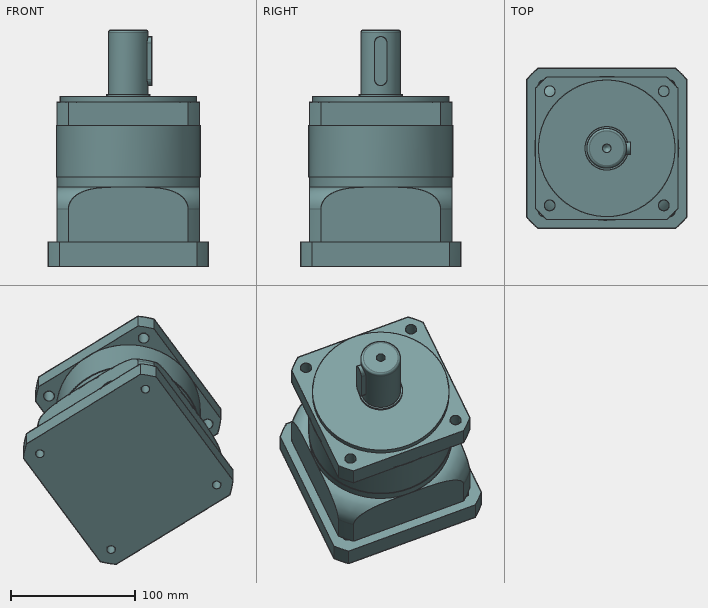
import cadquery as cq
import math

BODY_SIDE = 115.0
BODY_CORNER_DIA = 150.0
ADAPTER_SIDE = 129.0
ADAPTER_CORNER_DIA = 170.0
RING_DIA = 116.0
PILOT_DIA = 110.0

ADAPTER_TOP = 20.0
SHOULDER_TOP = 64.0
NECK_TOP = 72.25
RING_TOP = 113.5
FLANGE_TOP = 132.5
PILOT_TOP = 137.0
SHAFT_TOP = 190.5

ADAPTER_BOLT_CIRCLE = 145.0
ADAPTER_BOLT_DIA = 6.8
FLANGE_BOLT_CIRCLE = 130.0
FLANGE_BOLT_DIA = 8.7

ACCESS_DIA = 12.5
ACCESS_Y = -18.0
ACCESS_Z = 34.7
CORE_DIA = 49.0

SHAFT_DIA = 32.0
COLLAR_DIA = 35.0
COLLAR_HEIGHT = 1.5
SHAFT_END_RADIUS = 2.0
CENTRE_HOLE_DIA = 6.8
CENTRE_HOLE_DEPTH = 15.0
DRILL_POINT_ANGLE = 118.0
KEY_LENGTH = 39.5
KEY_WIDTH = 10.0
KEY_HEIGHT = 8.0
KEY_OUTER_X = 19.0
KEY_TOP = 185.25


def cylinder(diameter, bottom, top):
    """Upright cylinder on the gearbox axis."""
    return cq.Workplane("XY").workplane(offset=bottom).circle(diameter / 2).extrude(top - bottom)


def square_prism(side, bottom, top):
    """Upright square prism on the gearbox axis."""
    return cq.Workplane("XY").workplane(offset=bottom).rect(side, side).extrude(top - bottom)


def turned_corner_plate(side, corner_diameter, bottom, top):
    """Square plate whose corners are turned to a common diameter."""
    return square_prism(side, bottom, top).intersect(cylinder(corner_diameter, bottom, top))


def diagonal_holes(bolt_circle, diameter, bottom, top):
    """Four upright hole cutters on the diagonals of a bolt circle."""
    spacing = bolt_circle / math.sqrt(2)
    return (
        cq.Workplane("XY").workplane(offset=bottom)
        .rect(spacing, spacing, forConstruction=True).vertices()
        .circle(diameter / 2).extrude(top - bottom)
    )


def make_motor_adapter():
    plate = turned_corner_plate(ADAPTER_SIDE, ADAPTER_CORNER_DIA, 0, ADAPTER_TOP)
    return plate.cut(diagonal_holes(ADAPTER_BOLT_CIRCLE, ADAPTER_BOLT_DIA, 0, ADAPTER_TOP))


def make_input_housing():
    shoulder_radius = (BODY_CORNER_DIA - BODY_SIDE) / 2
    turned = cylinder(BODY_CORNER_DIA, ADAPTER_TOP, SHOULDER_TOP).faces(">Z").edges().fillet(shoulder_radius)
    housing = turned.intersect(square_prism(BODY_SIDE, ADAPTER_TOP, SHOULDER_TOP))
    housing = housing.union(cylinder(BODY_SIDE, ADAPTER_TOP, NECK_TOP))
    bore = (
        cq.Workplane("YZ").workplane(offset=-BODY_SIDE / 2)
        .center(ACCESS_Y, ACCESS_Z).circle(ACCESS_DIA / 2).extrude(BODY_SIDE / 2)
        .cut(cylinder(CORE_DIA, ADAPTER_TOP, SHOULDER_TOP))
    )
    return housing.cut(bore)


def make_ring_gear():
    return cylinder(RING_DIA, NECK_TOP, RING_TOP)


def make_output_flange():
    plate = turned_corner_plate(BODY_SIDE, BODY_CORNER_DIA, RING_TOP, FLANGE_TOP)
    plate = plate.union(cylinder(PILOT_DIA, RING_TOP, PILOT_TOP))
    return plate.cut(diagonal_holes(FLANGE_BOLT_CIRCLE, FLANGE_BOLT_DIA, RING_TOP, FLANGE_TOP))


def make_centre_hole():
    """Drilled hole with a conical bottom, as a cutter."""
    radius = CENTRE_HOLE_DIA / 2
    floor = SHAFT_TOP - CENTRE_HOLE_DEPTH
    point_depth = radius / math.tan(math.radians(DRILL_POINT_ANGLE / 2))
    return (
        cq.Workplane("XZ")
        .moveTo(0, SHAFT_TOP).lineTo(radius, SHAFT_TOP)
        .lineTo(radius, floor).lineTo(0, floor - point_depth).close()
        .revolve(360, (0, 0, 0), (0, 1, 0))
    )


def make_output_shaft():
    shaft = cylinder(SHAFT_DIA, PILOT_TOP, SHAFT_TOP).faces(">Z").edges().fillet(SHAFT_END_RADIUS)
    collar = cylinder(COLLAR_DIA, PILOT_TOP, PILOT_TOP + COLLAR_HEIGHT)
    key = (
        cq.Workplane("YZ").workplane(offset=KEY_OUTER_X - KEY_HEIGHT)
        .center(0, KEY_TOP - KEY_LENGTH / 2)
        .slot2D(KEY_LENGTH, KEY_WIDTH, 90).extrude(KEY_HEIGHT)
    )
    return shaft.union(collar).union(key).cut(make_centre_hole())


motor_adapter = make_motor_adapter()
input_housing = make_input_housing()
ring_gear = make_ring_gear()
output_flange = make_output_flange()
output_shaft = make_output_shaft()

result = cq.Compound.makeCompound([
    motor_adapter.val(),
    input_housing.val(),
    ring_gear.val(),
    output_flange.val(),
    output_shaft.val(),
])